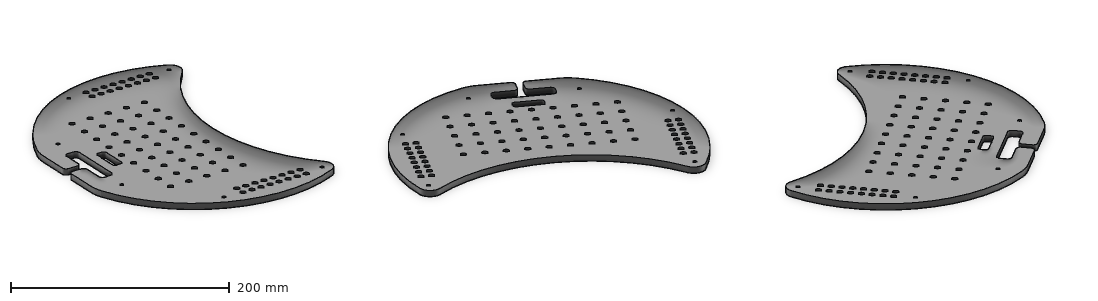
import cadquery as cq
import math

thickness = 6.5
outer_radius = 147.0
notch_radius = 170.0
notch_centre_y = 191.0
flat_edge_y = -139.8
tip_radius = 11.5
flat_blend_radius = 38.2

grid_pitch = 20.0
grid_columns = 9
grid_rows = 5

side_pitch = 10.0
side_columns = 2
side_rows = 8
side_inner_x = 117.2
side_block_y = 2.5

hole_diameter = 5.5

fixing_diameter = 3.5
fixing_places = [(124.0, 57.3), (125.7, -52.3), (51.7, -114.5)]

window_width = 30.0
window_height = 10.0
window_y = -93.0
window_corner_radius = 3.0
crossbar_width = 60.0
crossbar_height = 14.0
crossbar_y = -115.5
stem_width = 7.0
slot_corner_radius = 4.0


def along(centre, target, distance):
    """Point at a distance from centre on the ray through target."""
    dx = target[0] - centre[0]
    dy = target[1] - centre[1]
    scale = distance / math.hypot(dx, dy)
    return (centre[0] + dx * scale, centre[1] + dy * scale)


def mirrored(point):
    return (-point[0], point[1])


def crescent_plate():
    origin = (0, 0)
    notch_centre = (0, notch_centre_y)

    tip_reach = outer_radius - tip_radius
    notch_reach = notch_radius + tip_radius
    tip_y = (tip_reach**2 - notch_reach**2 + notch_centre_y**2) / (2 * notch_centre_y)
    tip_centre = (math.sqrt(tip_reach**2 - tip_y**2), tip_y)
    tip_outer = along(origin, tip_centre, outer_radius)
    tip_top = (tip_centre[0], tip_y + tip_radius)
    tip_inner = along(notch_centre, tip_centre, notch_radius)

    blend_y = flat_edge_y + flat_blend_radius
    blend_x = math.sqrt((outer_radius - flat_blend_radius) ** 2 - blend_y**2)
    blend_centre = (blend_x, blend_y)
    blend_outer = along(origin, blend_centre, outer_radius)
    blend_flat = (blend_x, flat_edge_y)
    chord_middle = ((blend_outer[0] + blend_x) / 2, (blend_outer[1] + flat_edge_y) / 2)
    blend_middle = along(blend_centre, chord_middle, flat_blend_radius)

    return (
        cq.Workplane("XY")
        .moveTo(*mirrored(blend_flat))
        .lineTo(*blend_flat)
        .threePointArc(blend_middle, blend_outer)
        .threePointArc((outer_radius, 0), tip_outer)
        .threePointArc(tip_top, tip_inner)
        .threePointArc((0, notch_centre_y - notch_radius), mirrored(tip_inner))
        .threePointArc(mirrored(tip_top), mirrored(tip_outer))
        .threePointArc((-outer_radius, 0), mirrored(blend_outer))
        .threePointArc(mirrored(blend_middle), mirrored(blend_flat))
        .close()
        .extrude(thickness)
    )


def grid_holes():
    grid_y = -grid_pitch * (grid_rows - 1) / 2
    return (
        cq.Workplane("XY")
        .center(0, grid_y)
        .rarray(grid_pitch, grid_pitch, grid_columns, grid_rows)
        .circle(hole_diameter / 2)
        .extrude(thickness)
    )


def side_holes(side):
    block_x = side_inner_x + side_pitch * (side_columns - 1) / 2
    return (
        cq.Workplane("XY")
        .center(side * block_x, side_block_y)
        .rarray(side_pitch, side_pitch, side_columns, side_rows)
        .circle(hole_diameter / 2)
        .extrude(thickness)
    )


def fixing_holes():
    places = fixing_places + [mirrored(place) for place in fixing_places]
    return cq.Workplane("XY").pushPoints(places).circle(fixing_diameter / 2).extrude(thickness)


def window_slot():
    return (
        cq.Workplane("XY")
        .center(0, window_y)
        .rect(window_width, window_height)
        .extrude(thickness)
        .edges("|Z")
        .fillet(window_corner_radius)
    )


def cut_strap_opening(plate):
    """Cut the T-shaped opening through the flat edge and round all its corners."""
    stem_length = crossbar_y - flat_edge_y
    crossbar = (
        cq.Workplane("XY")
        .center(0, crossbar_y)
        .rect(crossbar_width, crossbar_height)
        .extrude(thickness)
    )
    stem = (
        cq.Workplane("XY")
        .center(0, flat_edge_y + stem_length / 2)
        .rect(stem_width, stem_length)
        .extrude(thickness)
    )
    opening = crossbar.union(stem).edges("|Z").edges("not <Y").fillet(slot_corner_radius)
    mouth_zone = cq.selectors.BoxSelector(
        (-stem_width, flat_edge_y - stem_width, 0),
        (stem_width, flat_edge_y + stem_width, thickness),
    )
    return plate.cut(opening).edges("|Z").edges(mouth_zone).fillet(slot_corner_radius)


result = cut_strap_opening(crescent_plate())
result = result.cut(window_slot())
result = result.cut(grid_holes())
for side in (-1, 1):
    result = result.cut(side_holes(side))
result = result.cut(fixing_holes())